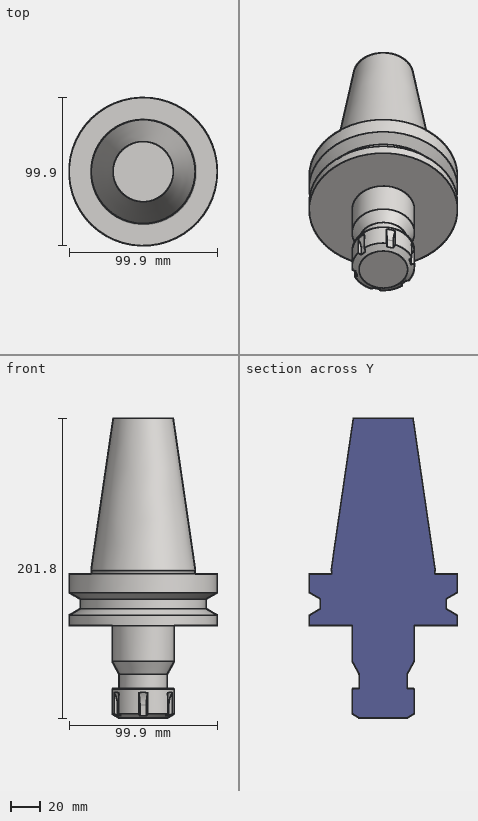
import cadquery as cq
import math

total_height = 201.8
gauge_height = 99.9
gauge_radius = 70.2 / 2
gauge_land_height = 0.8
relief_radius = 69.8 / 2
relief_fillet = 0.6
taper_ratio = 7 / 24
tip_radius = gauge_radius - (total_height - gauge_height) * taper_ratio / 2

flange_radius = 99.9 / 2
groove_radius = 85.0 / 2
flange_top = 97.0
flange_bottom = 62.2
groove_top = 84.4
groove_floor_top = 80.1
groove_floor_bottom = 73.7
groove_bottom = 69.2

body_radius = 42.0 / 2
body_bottom = 38.1
neck_radius = 16.3
neck_top = 29.7

nut_radius = body_radius
nut_top = 20.0
nut_top_chamfer = 0.6
nut_end_radius = 16.3
nut_chamfer_height = 2.8

slot_count = 6
slot_first_angle = -90.0
slot_floor_radius = 18.8
slot_floor_width = 4.2
slot_mouth_width = 6.3
slot_top = 17.4
slot_straight_top = 9.0
slot_clearance = 2.0


def make_holder():
    """Revolve the half section of the whole holder about Z."""
    lower_section = [
        (0, 0),
        (nut_end_radius, 0),
        (nut_radius, nut_chamfer_height),
        (nut_radius, nut_top - nut_top_chamfer),
        (nut_radius - nut_top_chamfer, nut_top),
        (neck_radius, nut_top),
        (neck_radius, neck_top),
        (body_radius, body_bottom),
        (body_radius, flange_bottom),
        (flange_radius, flange_bottom),
        (flange_radius, groove_bottom),
        (groove_radius, groove_floor_bottom),
        (groove_radius, groove_floor_top),
        (flange_radius, groove_top),
        (flange_radius, flange_top),
        (relief_radius + relief_fillet, flange_top),
    ]
    fillet_inset = relief_fillet * (1 - math.sqrt(0.5))
    fillet_middle = (relief_radius + fillet_inset, flange_top + fillet_inset)
    land_bottom = gauge_height - gauge_land_height
    return (
        cq.Workplane("XZ")
        .polyline(lower_section)
        .threePointArc(fillet_middle, (relief_radius, flange_top + relief_fillet))
        .lineTo(relief_radius, land_bottom)
        .lineTo(gauge_radius, land_bottom)
        .lineTo(gauge_radius, gauge_height)
        .lineTo(tip_radius, total_height)
        .lineTo(0, total_height)
        .close()
        .revolve(360, (0, 0), (0, 1))
    )


def make_slot_cutter():
    """Make the cutter of one wrench slot, pointing along +X."""
    depth = nut_radius - slot_floor_radius
    rise = slot_top - slot_straight_top
    arc_radius = (rise**2 + depth**2) / (2 * depth)
    half_angle = math.asin(rise / arc_radius) / 2
    arc_middle = (
        slot_floor_radius + arc_radius * (1 - math.cos(half_angle)),
        slot_straight_top + arc_radius * math.sin(half_angle),
    )
    outer_radius = nut_radius + slot_clearance
    side = (
        cq.Workplane("XZ")
        .moveTo(slot_floor_radius, -slot_clearance)
        .lineTo(slot_floor_radius, slot_straight_top)
        .threePointArc(arc_middle, (nut_radius, slot_top))
        .lineTo(outer_radius, slot_top)
        .lineTo(outer_radius, -slot_clearance)
        .close()
        .extrude(slot_mouth_width, both=True)
    )
    flare = (slot_mouth_width - slot_floor_width) / 2 / depth
    floor_half = slot_floor_width / 2
    outer_half = floor_half + flare * (outer_radius - slot_floor_radius)
    walls = (
        cq.Workplane("XY", origin=(0, 0, -slot_clearance))
        .moveTo(slot_floor_radius, -floor_half)
        .lineTo(outer_radius, -outer_half)
        .lineTo(outer_radius, outer_half)
        .lineTo(slot_floor_radius, floor_half)
        .close()
        .extrude(slot_top + slot_clearance)
    )
    return side.intersect(walls)


result = make_holder()
slot_cutter = make_slot_cutter()
for index in range(slot_count):
    angle = slot_first_angle + index * 360 / slot_count
    result = result.cut(slot_cutter.rotate((0, 0, 0), (0, 0, 1), angle))